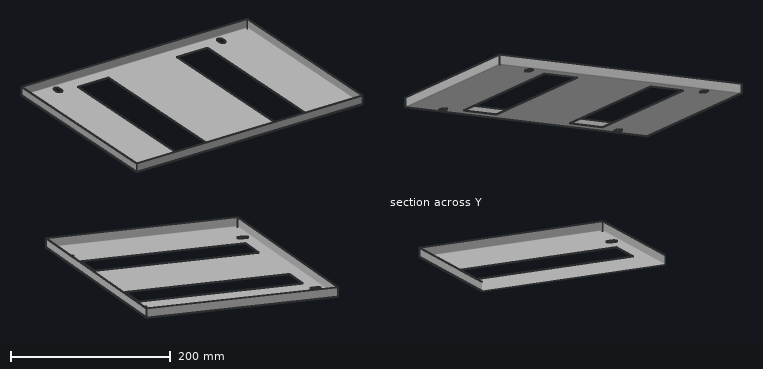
import cadquery as cq

width = 259.0
length = 341.5
height = 13.0
sheet = 0.7
bend_outer_radius = 1.7
bend_inner_radius = bend_outer_radius - sheet

window_width = 221.5
window_length = 46.0
window_offset_y = 74.8

slot_length = 14.0
slot_width = 7.5
slot_offset_x = 117.5
slot_offset_y = 123.3


def rounded_block(block_width, block_length, bottom, bend_radius):
    """Block reaching up to the rim, with its bottom edges rounded."""
    block = cq.Workplane("XY").workplane(offset=bottom)
    block = block.rect(block_width, block_length).extrude(height - bottom)
    return block.faces("<Z").edges().fillet(bend_radius)


def make_tray():
    """Thin sheet floor with four upright walls, bent along the floor edges."""
    outside = rounded_block(width, length, 0, bend_outer_radius)
    inside = rounded_block(width - 2 * sheet, length - 2 * sheet, sheet, bend_inner_radius)
    return outside.cut(inside)


def make_windows():
    """Cutters for the two windows."""
    centers = [(0, -window_offset_y), (0, window_offset_y)]
    return cq.Workplane("XY").pushPoints(centers).rect(window_width, window_length).extrude(height)


def make_slots():
    """Cutters for the four round-ended slots, long in X."""
    corners = cq.Workplane("XY").rect(2 * slot_offset_x, 2 * slot_offset_y, forConstruction=True)
    return corners.vertices().slot2D(slot_length, slot_width).extrude(height)


result = make_tray().cut(make_windows()).cut(make_slots())